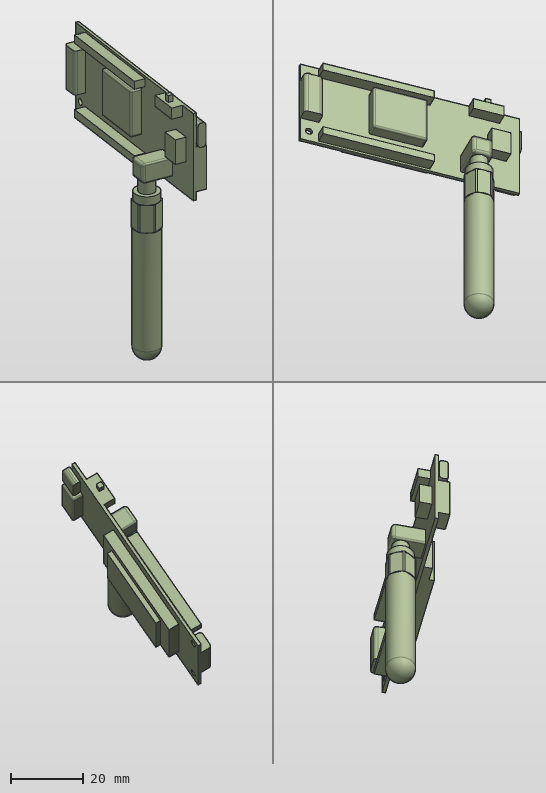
import cadquery as cq
import math


BOARD_LENGTH = 65.0
BOARD_HEIGHT = 27.0
BOARD_THICKNESS = 1.0
MOUNT_HOLE_DIAMETER = 2.0
MOUNT_HOLE_X = 2.6
MOUNT_HOLE_INSET = 3.5

FRONT_DEPTH = 3.5

HEADER_X = 5.4
HEADER_LENGTH = 33
HEADER_HEIGHT = 2.5
HEADER_INSET = 0.75

CONNECTOR_WIDTH = 5.45
CONNECTOR_LENGTH = 13.6
CONNECTOR_Z = 7.5
CONNECTOR_FILLET = 1.0

CHIP_X = 20.4
CHIP_Z = 7.9
CHIP_WIDTH = 16.0
CHIP_HEIGHT = 14.5
CHIP_FILLET = 0.6

SWITCH_X = 50.0
SWITCH_WIDTH = 9.1
SWITCH_HEIGHT = 3.5
LEVER_SIZE = 1.6
LEVER_RISE = 2.1
LEVER_OFFSET = 0.25

BUTTON_X = 55.4
BUTTON_Z = 10.4
BUTTON_WIDTH = 5.6
BUTTON_HEIGHT = 7.6

DISPLAY_X = 9.9
DISPLAY_Z = 4.05
DISPLAY_WIDTH = 33.7
DISPLAY_HEIGHT = 19
DISPLAY_DEPTH = 3.2
GLASS_X = 14.4
GLASS_WIDTH = 25.0
GLASS_HEIGHT = 16.7
GLASS_DEPTH = 1.5

USB_LENGTH = 5.4
USB_OVERHANG = 0.9
USB_WIDTH = 7.5
USB_DEPTH = 2.6
USB_FILLET = 1.0
USB_Z = 16.4

BACK_BLOCK_WIDTH = 5.6
BACK_BLOCK_DEPTH = 3.2
BACK_BLOCK_Z = 2.6
BACK_BLOCK_FILLET = 0.5

ANTENNA_X = 50.5
ANTENNA_Y = -6.45
ELBOW_SIZE = 6.0
ELBOW_DEPTH = 9.6
ELBOW_Z = 2.5
ELBOW_SIDE_FILLET = 0.5
ELBOW_FRONT_FILLET = 1.0
STEM_DIAMETER = 5.0
STEM_LENGTH = 4.0
COLLAR_DIAMETER = 7.85
COLLAR_LENGTH = 2.65
HEX_ACROSS_FLATS = 7.8
HEX_CORNER_DIAMETER = 8.7
HEX_LENGTH = 8.5
SLEEVE_DIAMETER = 8.35
TOTAL_HEIGHT = 82.6

collar_top = ELBOW_Z - STEM_LENGTH
hex_top = collar_top - COLLAR_LENGTH
sleeve_top = hex_top - HEX_LENGTH
sleeve_bottom = BOARD_HEIGHT + LEVER_RISE - TOTAL_HEIGHT


def block(x, y, z, width, depth, height):
    """Box placed by its lowest corner."""
    return cq.Workplane("XY").box(width, depth, height, centered=False).translate((x, y, z))


def front_block(x, z, width, height, depth=FRONT_DEPTH):
    """Box standing on the front face of the board."""
    return block(x, -depth, z, width, depth, height)


def back_block(x, z, width, height, depth):
    """Box standing on the back face of the board."""
    return block(x, BOARD_THICKNESS, z, width, depth, height)


def bare_board():
    board = block(0, 0, 0, BOARD_LENGTH, BOARD_THICKNESS, BOARD_HEIGHT)
    for z in (MOUNT_HOLE_INSET, BOARD_HEIGHT - MOUNT_HOLE_INSET):
        hole = cq.Workplane("XZ").center(MOUNT_HOLE_X, z).circle(MOUNT_HOLE_DIAMETER / 2)
        board = board.cut(hole.extrude(-BOARD_THICKNESS))
    return board


def header(z):
    return front_block(HEADER_X, z, HEADER_LENGTH, HEADER_HEIGHT)


def edge_connector():
    body = front_block(0, CONNECTOR_Z, CONNECTOR_WIDTH, CONNECTOR_LENGTH)
    return body.faces("<Y").edges("|Z").fillet(CONNECTOR_FILLET)


def chip():
    body = front_block(CHIP_X, CHIP_Z, CHIP_WIDTH, CHIP_HEIGHT)
    return body.edges("|Y or (<Y)").fillet(CHIP_FILLET)


def slide_switch():
    body = front_block(SWITCH_X, BOARD_HEIGHT - SWITCH_HEIGHT, SWITCH_WIDTH, SWITCH_HEIGHT)
    lever = block(
        SWITCH_X + (SWITCH_WIDTH - LEVER_SIZE) / 2 + LEVER_OFFSET,
        -(FRONT_DEPTH + LEVER_SIZE) / 2,
        BOARD_HEIGHT,
        LEVER_SIZE,
        LEVER_SIZE,
        LEVER_RISE,
    )
    return body.union(lever)


def push_button():
    return front_block(BUTTON_X, BUTTON_Z, BUTTON_WIDTH, BUTTON_HEIGHT)


def display():
    module = back_block(DISPLAY_X, DISPLAY_Z, DISPLAY_WIDTH, DISPLAY_HEIGHT, DISPLAY_DEPTH)
    glass = block(
        GLASS_X, BOARD_THICKNESS + DISPLAY_DEPTH, DISPLAY_Z, GLASS_WIDTH, GLASS_DEPTH, GLASS_HEIGHT
    )
    return module.union(glass)


def usb_socket():
    x = BOARD_LENGTH + USB_OVERHANG - USB_LENGTH
    shell = back_block(x, USB_Z, USB_LENGTH, USB_WIDTH, USB_DEPTH)
    return shell.edges("|X").fillet(USB_FILLET)


def back_connector():
    """Block below the USB socket, rounded around its upper left back corner."""
    x = BOARD_LENGTH - BACK_BLOCK_WIDTH
    body = back_block(x, BACK_BLOCK_Z, BACK_BLOCK_WIDTH, USB_Z - BACK_BLOCK_Z, BACK_BLOCK_DEPTH)
    back_left = body.faces(">Y").edges("<X")
    back_top = body.faces(">Y").edges(">Z")
    top_left = body.faces(">Z").edges("<X")
    return body.newObject(back_left.vals() + back_top.vals() + top_left.vals()).fillet(BACK_BLOCK_FILLET)


def board_assembly():
    body = bare_board()
    for z in (HEADER_INSET, BOARD_HEIGHT - HEADER_INSET - HEADER_HEIGHT):
        body = body.union(header(z))
    parts = (edge_connector, chip, slide_switch, push_button, display, back_connector, usb_socket)
    for make_part in parts:
        body = body.union(make_part())
    return body


def antenna_elbow():
    body = front_block(ANTENNA_X - ELBOW_SIZE / 2, ELBOW_Z, ELBOW_SIZE, ELBOW_SIZE, ELBOW_DEPTH)
    body = body.edges("|Y").fillet(ELBOW_SIDE_FILLET)
    return body.faces("<Y").edges().fillet(ELBOW_FRONT_FILLET)


def antenna_level(z):
    """Workplane across the antenna axis."""
    return cq.Workplane("XY", origin=(ANTENNA_X, ANTENNA_Y, z))


def antenna_stem():
    return antenna_level(collar_top).circle(STEM_DIAMETER / 2).extrude(STEM_LENGTH)


def coupling_nut():
    sharp_diameter = HEX_ACROSS_FLATS / math.cos(math.pi / 6)
    hexagon = antenna_level(sleeve_top).polygon(6, sharp_diameter).extrude(HEX_LENGTH)
    turned = antenna_level(sleeve_top).circle(HEX_CORNER_DIAMETER / 2).extrude(HEX_LENGTH)
    collar = antenna_level(hex_top).circle(COLLAR_DIAMETER / 2).extrude(COLLAR_LENGTH)
    return hexagon.intersect(turned).union(collar)


def antenna_sleeve():
    """Round sleeve ending in a hemisphere."""
    radius = SLEEVE_DIAMETER / 2
    dome_level = sleeve_bottom + radius
    rod = antenna_level(dome_level).circle(radius).extrude(sleeve_top - dome_level)
    return rod.union(antenna_level(dome_level).sphere(radius))


board = board_assembly()
elbow = antenna_elbow()
stem = antenna_stem()
nut = coupling_nut()
sleeve = antenna_sleeve()

result = cq.Compound.makeCompound([board.val(), elbow.val(), stem.val(), nut.val(), sleeve.val()])